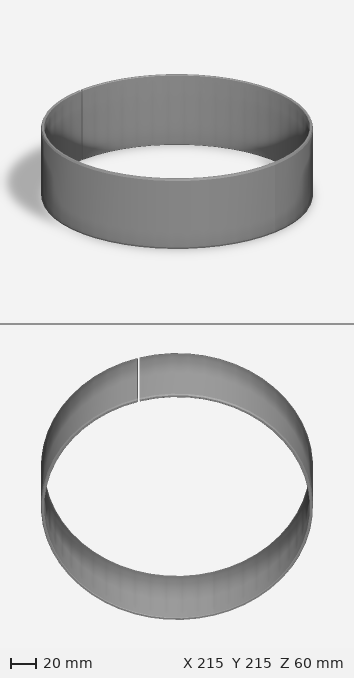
import cadquery as cq

outer_diameter = 215.0
height = 60.0
wall = 2.5
outer_bevel_height = 1.5
outer_bevel_depth = 0.6
inner_chamfer = 0.5
slit_width = 1.7

outer_radius = outer_diameter / 2
inner_radius = outer_radius - wall
half_height = height / 2


def ring():
    """Revolve the wall section: steep bevels outside, small equal-leg chamfers inside."""
    outer_bevel_start = half_height - outer_bevel_height
    inner_chamfer_start = half_height - inner_chamfer
    rim_outer = outer_radius - outer_bevel_depth
    rim_inner = inner_radius + inner_chamfer
    section = [
        (rim_inner, -half_height),
        (rim_outer, -half_height),
        (outer_radius, -outer_bevel_start),
        (outer_radius, outer_bevel_start),
        (rim_outer, half_height),
        (rim_inner, half_height),
        (inner_radius, inner_chamfer_start),
        (inner_radius, -inner_chamfer_start),
    ]
    return cq.Workplane("XZ").polyline(section).close().revolve(360, (0, 0), (0, 1))


def slit():
    """Cutter through the -X wall, with one face on the XZ plane and its width toward +Y."""
    cutter = cq.Workplane("XY").box(outer_diameter, slit_width, 2 * height)
    return cutter.translate((-outer_radius, slit_width / 2, 0))


result = ring().cut(slit())